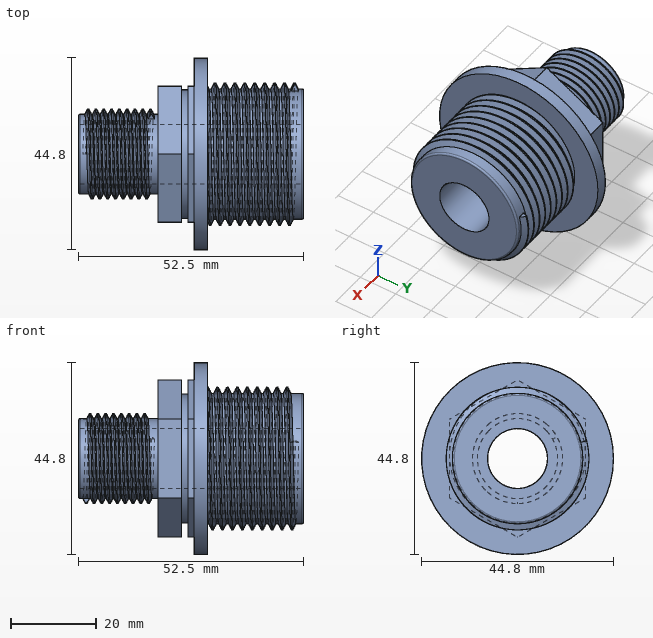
import cadquery as cq
import math

hex_start = 18.5
hex_end = 24.05
collar_start = 25.45
flange_start = 26.95
flange_end = 30.1
total_length = 52.5

small_diameter = 18.7
large_diameter = 30.45
neck_diameter = 30.15
flange_diameter = 44.8
bore_diameter = 13.9
hex_across_flats = 31.75
hex_across_corners = hex_across_flats / math.cos(math.pi / 6)
end_fillet = 0.45

small_ridge_height = 1.15
large_ridge_height = 1.4
crest_width = 0.3
root_embed = 0.15

small_thread_start = 1.8
small_thread_span = 14.55
small_full_turns = 8
small_pitch = small_thread_span / small_full_turns
small_root_width = 1.75

large_thread_start = 28.95
large_thread_span = 20.85
large_full_turns = 9
large_pitch = large_thread_span / large_full_turns
large_root_width = 1.95

small_extra_turns = 0.33
large_extra_turns = 0.29


def cylinder(start, end, diameter):
    """Cylinder along X between two positions."""
    return cq.Workplane("YZ", origin=(start, 0, 0)).circle(diameter / 2).extrude(end - start)


def hexagon(start, end):
    """Hexagonal section along X with corners on the +Z and -Z sides."""
    section = cq.Workplane("YZ", origin=(start, 0, 0)).transformed(rotate=(0, 0, 90))
    return section.polygon(6, hex_across_corners).extrude(end - start)


def thread(start, pitch, turns, body_diameter, ridge_height, root_width):
    """Right-handed ridge of trapezoidal section, starting on the -Z side."""
    root_radius = body_diameter / 2 - root_embed
    crest_radius = body_diameter / 2 + ridge_height
    section = [
        (root_radius, -root_width / 2),
        (crest_radius, -crest_width / 2),
        (crest_radius, crest_width / 2),
        (root_radius, root_width / 2),
    ]
    path = cq.Wire.makeHelix(pitch, pitch * turns, root_radius)
    ridge = cq.Workplane("XZ").polyline(section).close().sweep(cq.Workplane(path), isFrenet=True)
    ridge = ridge.rotate((0, 0, 0), (0, 1, 0), 90)
    return ridge.translate((start, 0, 0))


small_body = cylinder(0, hex_start, small_diameter).faces("<X").fillet(end_fillet)
large_body = cylinder(flange_end, total_length, large_diameter).faces(">X").fillet(end_fillet)

result = (
    small_body
    .union(hexagon(hex_start, hex_end))
    .union(cylinder(hex_end, collar_start, neck_diameter))
    .union(hexagon(collar_start, flange_start))
    .union(cylinder(flange_start, flange_end, flange_diameter))
    .union(large_body)
)

result = result.union(
    thread(
        small_thread_start, small_pitch, small_full_turns + small_extra_turns,
        small_diameter, small_ridge_height, small_root_width,
    )
)
result = result.union(
    thread(
        large_thread_start, large_pitch, large_full_turns + large_extra_turns,
        large_diameter, large_ridge_height, large_root_width,
    )
)

result = result.cut(cylinder(0, total_length, bore_diameter))